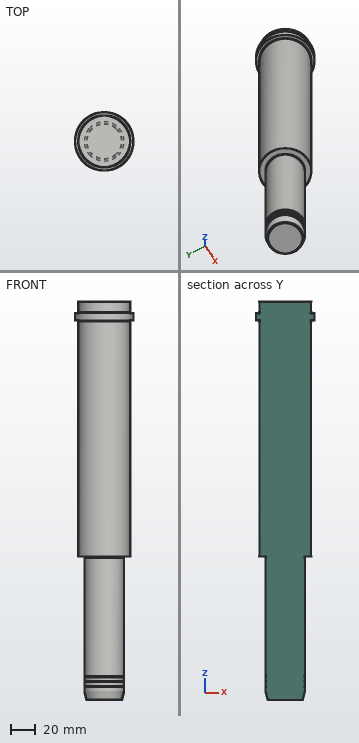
import cadquery as cq

length = 320.0
body_diameter = 42.0
collar_diameter = 47.0
rod_diameter = 32.0

shoulder_height = 115.2
collar_thickness = 5.8
collar_top_inset = 9.3

tip_diameter = 28.8
tip_length = 7.0
tip_chamfer = 0.5

groove_count = 3
groove_width = 1.0
groove_depth = 0.3
groove_pitch = 4.0
first_groove_height = 10.5


def disc(diameter, bottom, height):
    """Cylinder on the Z axis, starting at the given height."""
    return cq.Workplane("XY").workplane(offset=bottom).circle(diameter / 2).extrude(height)


def tapered_rod():
    """Lower rod with a conical tip, reaching up to the body shoulder."""
    return (
        cq.Workplane("XZ")
        .moveTo(0, 0)
        .lineTo(tip_diameter / 2 - tip_chamfer, 0)
        .lineTo(tip_diameter / 2, tip_chamfer)
        .lineTo(rod_diameter / 2, tip_length)
        .lineTo(rod_diameter / 2, shoulder_height)
        .lineTo(0, shoulder_height)
        .close()
        .revolve(360, (0, 0, 0), (0, 1, 0))
    )


def ring_groove(surface_diameter, bottom):
    """Shallow ring of material to remove from a cylindrical surface."""
    floor_diameter = surface_diameter - 2 * groove_depth
    return disc(surface_diameter, bottom, groove_width).cut(disc(floor_diameter, bottom, groove_width))


collar_top = length - collar_top_inset
collar_bottom = collar_top - collar_thickness

rod = tapered_rod()
for index in range(groove_count):
    rod = rod.cut(ring_groove(rod_diameter, first_groove_height + index * groove_pitch))
rod = rod.cut(ring_groove(rod_diameter, shoulder_height - groove_width))

body = disc(body_diameter, shoulder_height, length - shoulder_height)
for groove_bottom in (collar_top, collar_bottom - groove_width):
    body = body.cut(ring_groove(body_diameter, groove_bottom))

collar = disc(collar_diameter, collar_bottom, collar_thickness)

result = rod.union(body).union(collar)